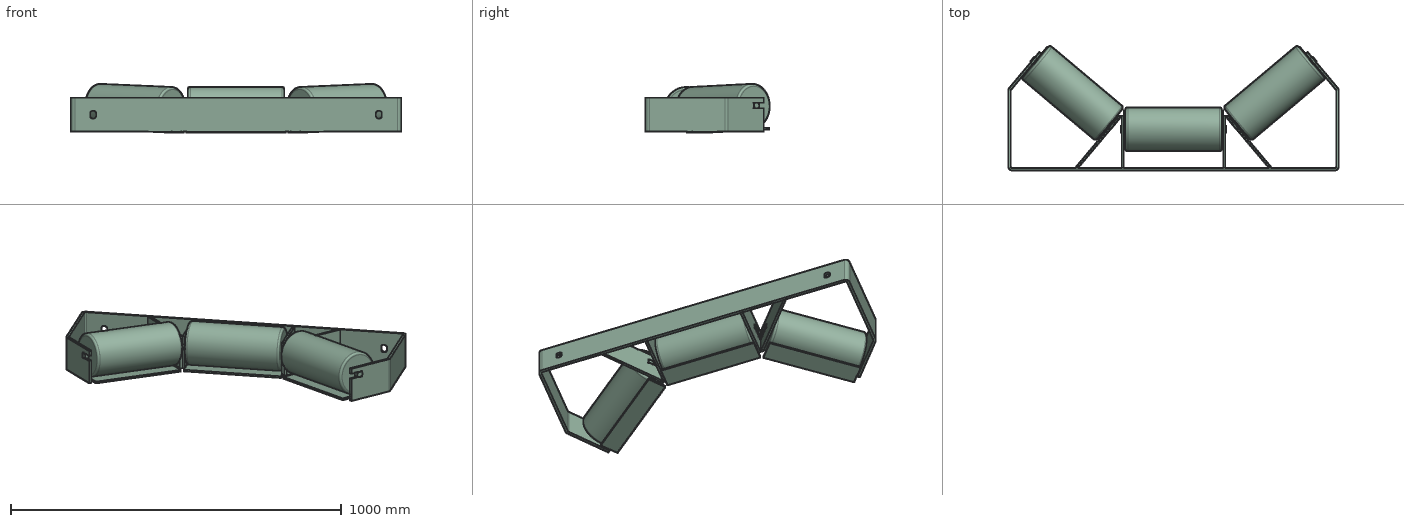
import cadquery as cq
import math


frame_length = 1000.0
strap_width = 103.0
strap_thickness = 8.0
bend_radius = 13.0
side_height = 246.0
arm_reach = 359.0
mount_hole_spacing = 864.0
mount_hole_width = 18.0
mount_hole_length = 24.0

roller_diameter = 133.0
roller_radius = roller_diameter / 2
roller_length = 292.0
roller_fillet = 7.0
wing_angle = 40.0
wing_tilt = 1.9
center_roller_y = 125.0
center_roller_z = 69.0
wing_roller_x = 305.0
wing_roller_y = 235.0
wing_roller_z = 74.0
journal_diameter = 20.0
journal_flats = 16.0
journal_length = 318.0
slot_overrun = 20.0
slot_reach = 200.0

bar_width = 58.0
bar_thickness = 6.0

bracket_thickness = 7.0
bracket_leg_x = 150.0
bracket_apex_width = 15.0
bracket_apex_y = 166.0

wing_sine = math.sin(math.radians(wing_angle))
wing_cosine = math.cos(math.radians(wing_angle))


def roller_placement(side):
    """Frame of a roller whose local X is its axis, pointing outward; side 0 is the center roller."""
    if side == 0:
        return cq.Location(cq.Vector(0, center_roller_y, center_roller_z))
    place = cq.Location(cq.Vector(wing_roller_x, wing_roller_y, wing_roller_z))
    turn = cq.Location(cq.Vector(), cq.Vector(0, 0, 1), wing_angle)
    tilt = cq.Location(cq.Vector(), cq.Vector(0, 1, 0), -wing_tilt)
    return place * turn * tilt


def placed(local_body, side):
    """Move a body from roller coordinates to its place; the left wing mirrors the right one."""
    body = cq.Workplane(local_body.val().moved(roller_placement(side)))
    if side < 0:
        body = body.mirror("YZ")
    return body


def make_rod(radius, length):
    """Round rod along X, centered on the origin."""
    return cq.Workplane("YZ", origin=(-length / 2, 0, 0)).circle(radius).extrude(length)


def make_roller(side):
    """Drum with rounded rims and a flatted journal at each end."""
    drum = make_rod(roller_radius, roller_length).edges("%CIRCLE").fillet(roller_fillet)
    flats = cq.Workplane("XY").box(journal_length, journal_diameter, journal_flats)
    journal = make_rod(journal_diameter / 2, journal_length).intersect(flats)
    return placed(drum.union(journal), side)


def make_bar(side):
    """Flat bar that touches the underside of its roller and reaches from below the axis toward the trough."""
    bar_length = roller_length if side else 2 * bracket_leg_x
    bar = cq.Workplane("XY").box(bar_length, bar_width, bar_thickness, centered=(True, False, False))
    return placed(bar.translate((0, 0, -roller_radius - bar_thickness)), side)


def round_bends(strap, corners, radius):
    for x, y in corners:
        edge = cq.selectors.NearestToPointSelector((x, y, strap_width / 2))
        strap = strap.edges(edge).fillet(radius)
    return strap


def make_strap():
    """Base, two upright sides and two arms leaning inward, parallel to the wing roller ends."""
    outer_x = frame_length / 2
    inner_x = outer_x - strap_thickness
    inner_side_height = side_height - strap_thickness * math.tan(math.radians(wing_angle / 2))
    tip_x = outer_x - (arm_reach - side_height) * wing_sine / wing_cosine
    inner_tip = (tip_x - strap_thickness * wing_cosine, arm_reach - strap_thickness * wing_sine)
    right_half = [
        (outer_x, 0),
        (outer_x, side_height),
        (tip_x, arm_reach),
        inner_tip,
        (inner_x, inner_side_height),
        (inner_x, strap_thickness),
    ]
    left_half = [(-x, y) for x, y in reversed(right_half)]
    strap = cq.Workplane("XY").polyline(right_half + left_half).close().extrude(strap_width)

    outer_corners = [(x, y) for x in (-outer_x, outer_x) for y in (0, side_height)]
    inner_corners = [(x, y) for x in (-inner_x, inner_x) for y in (strap_thickness, inner_side_height)]
    strap = round_bends(strap, outer_corners, bend_radius)
    return round_bends(strap, inner_corners, bend_radius - strap_thickness)


def make_slot(side):
    """Cutter for the journal slots: as tall as the journal flats and open toward the trough."""
    length = journal_length + slot_overrun
    slot = cq.Workplane("XY").box(length, slot_reach, journal_flats, centered=(True, False, True))
    return placed(slot.translate((0, -journal_diameter / 2, 0)), side)


def make_frame():
    """Strap with a mounting slot at each end of the base and a journal slot in each arm."""
    frame = make_strap()
    holes = (
        cq.Workplane("XZ", origin=(0, 0, strap_width / 2))
        .pushPoints([(-mount_hole_spacing / 2, 0), (mount_hole_spacing / 2, 0)])
        .slot2D(mount_hole_length, mount_hole_width, 90)
        .extrude(-strap_thickness)
    )
    frame = frame.cut(holes)
    for side in (-1, 1):
        frame = frame.cut(make_slot(side))
    return frame


def make_bracket(side):
    """V of one upright leg next to the center roller and one leg parallel to the end of the wing roller."""
    foot_y = strap_thickness
    upright_inner = bracket_leg_x
    upright_outer = bracket_leg_x + bracket_thickness
    slant_outer = bracket_leg_x + bracket_apex_width
    slant_inner = slant_outer - bracket_thickness / wing_cosine
    lean = wing_sine / wing_cosine
    run = (bracket_apex_y - foot_y) * lean
    crotch_y = bracket_apex_y - (upright_outer - slant_inner) / lean
    outline = [
        (upright_inner, foot_y),
        (upright_inner, bracket_apex_y),
        (slant_outer, bracket_apex_y),
        (slant_outer + run, foot_y),
        (slant_inner + run, foot_y),
        (upright_outer, crotch_y),
        (upright_outer, foot_y),
    ]
    bracket = cq.Workplane("XY").polyline(outline).close().extrude(strap_width)
    if side < 0:
        bracket = bracket.mirror("YZ")
    return bracket.cut(make_slot(side)).cut(make_slot(0))


frame = make_frame()
brackets = [make_bracket(side) for side in (-1, 1)]
rollers = [make_roller(side) for side in (-1, 0, 1)]
bars = [make_bar(side) for side in (-1, 0, 1)]

bodies = [frame, *brackets, *rollers, *bars]
result = cq.Compound.makeCompound([body.val() for body in bodies])